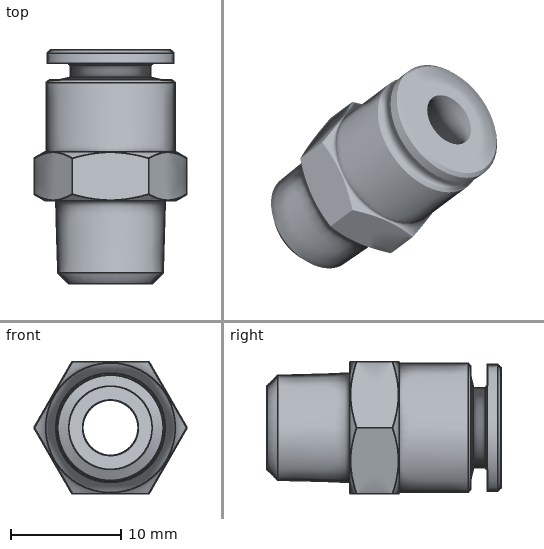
import cadquery as cq
import math

total_length = 21.2

thread_length = 7.5
thread_root_radius = 4.96
thread_tip_radius = 4.77
thread_chamfer = 1.0
bore_radius = 2.5

hex_across_flats = 12.0
hex_width = 4.47
hex_face_radius = 5.87
hex_chamfer_angle = 30.0

body_radius = 5.85
body_length = 6.23
body_chamfer_width = 0.32
body_chamfer_length = 0.25
nose_base_radius = 4.66
nose_height = 0.23

neck_radius = 3.65
neck_flare = 0.2
collar_radius = 5.75
collar_thickness = 1.23
collar_chamfer = 0.32

hex_start = thread_length
hex_end = hex_start + hex_width
body_end = hex_end + body_length + body_chamfer_length
collar_start = total_length - collar_thickness


def revolve_about_y(profile):
    """Revolve a closed (radius, Y) outline about the Y axis."""
    return cq.Workplane("XY").polyline(profile).close().revolve(360, (0, 0, 0), (0, 1, 0))


def make_turned_body():
    """Thread, round body, neck and collar as one turned shape."""
    return revolve_about_y([
        (0, 0),
        (thread_tip_radius - thread_chamfer, 0),
        (thread_tip_radius, thread_chamfer),
        (thread_root_radius, hex_start),
        (body_radius, hex_start),
        (body_radius, body_end - body_chamfer_length),
        (body_radius - body_chamfer_width, body_end),
        (nose_base_radius, body_end),
        (neck_radius, body_end + nose_height),
        (neck_radius, collar_start - neck_flare),
        (neck_radius + neck_flare, collar_start),
        (collar_radius, collar_start),
        (collar_radius, total_length - collar_chamfer),
        (collar_radius - collar_chamfer, total_length),
        (0, total_length),
    ])


def make_hexagon():
    """Hexagon with corners on the X axis and both ends turned to a cone."""
    corner_radius = hex_across_flats / 2 / math.cos(math.radians(30))
    chamfer_length = (corner_radius - hex_face_radius) * math.tan(math.radians(hex_chamfer_angle))
    prism = (
        cq.Workplane("XZ", origin=(0, hex_end, 0))
        .polygon(6, 2 * corner_radius)
        .extrude(hex_width)
    )
    envelope = revolve_about_y([
        (0, hex_start),
        (hex_face_radius, hex_start),
        (corner_radius, hex_start + chamfer_length),
        (corner_radius, hex_end - chamfer_length),
        (hex_face_radius, hex_end),
        (0, hex_end),
    ])
    return prism.intersect(envelope)


def make_bore():
    """Straight bore through the whole length."""
    return cq.Workplane("XZ").circle(bore_radius).extrude(-total_length)


result = make_turned_body().union(make_hexagon()).cut(make_bore())